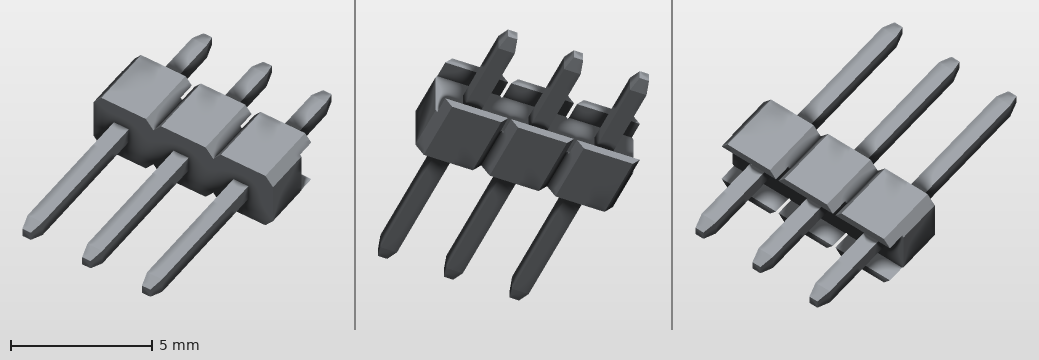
import cadquery as cq

pin_count = 3
pitch = 2.54

housing_height = 2.5
housing_length = 2.54
chamfer_width = 0.32
chamfer_height = 0.4
recess_depth = 0.72
rail_thickness = 0.32

pin_length = 11.6
pin_width = 0.64
tip_width = 0.36
tip_length = 0.55
front_pin_length = 6.07
pin_offset = -0.09

housing_width = pin_count * pitch
cell_centers = [(i - (pin_count - 1) / 2) * pitch for i in range(pin_count)]


def housing_cell(center_x):
    """Chamfered cell whose front face lies on Y = 0."""
    half_width = pitch / 2
    half_height = housing_height / 2
    flat_x = half_width - chamfer_width
    side_z = half_height - chamfer_height
    outline = [
        (-half_width, -side_z),
        (-flat_x, -half_height),
        (flat_x, -half_height),
        (half_width, -side_z),
        (half_width, side_z),
        (flat_x, half_height),
        (-flat_x, half_height),
        (-half_width, side_z),
    ]
    cell = cq.Workplane("XZ").polyline(outline).close().extrude(-housing_length)
    return cell.translate((center_x, 0, 0))


def rear_recess():
    """Full-width channel that leaves a rail along the top and bottom."""
    recess_height = housing_height - 2 * rail_thickness
    recess_center_y = housing_length - recess_depth / 2
    return (
        cq.Workplane("XY")
        .box(housing_width, recess_depth, recess_height)
        .translate((0, recess_center_y, 0))
    )


def tapered_tip(base_y, end_y):
    """Square pyramid frustum narrowing from base_y to end_y."""
    return (
        cq.Workplane("XZ", origin=(0, base_y, 0))
        .rect(pin_width, pin_width)
        .workplane(offset=base_y - end_y)
        .rect(tip_width, tip_width)
        .loft(ruled=True)
    )


def pin(center_x):
    """Square pin with a tapered tip at each end."""
    front_y = -front_pin_length
    rear_y = front_y + pin_length
    shank_length = pin_length - 2 * tip_length
    shank = (
        cq.Workplane("XY")
        .box(pin_width, shank_length, pin_width)
        .translate((0, (front_y + rear_y) / 2, 0))
    )
    front_tip = tapered_tip(front_y + tip_length, front_y)
    rear_tip = tapered_tip(rear_y - tip_length, rear_y)
    return shank.union(front_tip).union(rear_tip).translate((center_x, 0, 0))


housing = housing_cell(cell_centers[0])
for cell_x in cell_centers[1:]:
    housing = housing.union(housing_cell(cell_x))

result = housing.cut(rear_recess())
for cell_x in cell_centers:
    result = result.union(pin(cell_x + pin_offset))
result = result.clean()